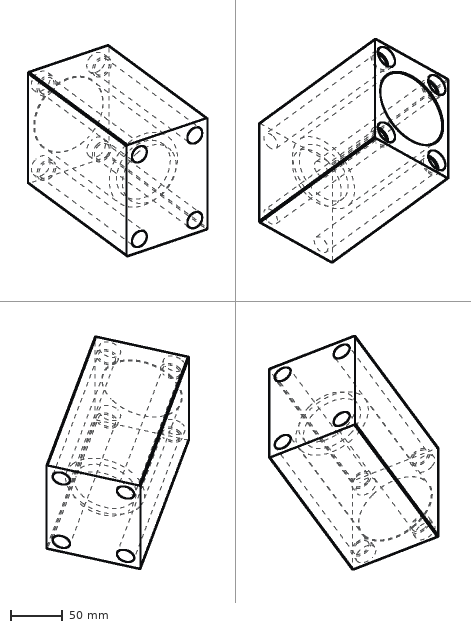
import cadquery as cq

LENGTH = 171.0
WIDTH = 95.0
HEIGHT = 125.0
EDGE_CHAMFER = 1.0

BORE_DIAMETER = 80.0
BORE_DEPTH = 130.0
BORE_CHAMFER = 0.7
RECESS_DIAMETER = 63.0
RECESS_DEPTH = 10.0

HOLE_SPACING_Y = 65.0
HOLE_SPACING_Z = 95.0
HOLE_DIAMETER = 17.5
COUNTERBORE_DIAMETER = 22.0
COUNTERBORE_DEPTH = 10.0


def make_block():
    """Block centred on the X axis, starting at X = 0, long edges chamfered."""
    block = cq.Workplane("XY").box(LENGTH, WIDTH, HEIGHT, centered=(False, True, True))
    return block.edges("|X").chamfer(EDGE_CHAMFER)


def cylinder_along_x(diameter, start, length):
    """Cylinder on the X axis from X = start, running toward +X."""
    return cq.Workplane("YZ", origin=(start, 0, 0)).circle(diameter / 2).extrude(length)


def make_bore():
    """Stepped blind bore as a solid to be removed."""
    bore = cylinder_along_x(BORE_DIAMETER, 0, BORE_DEPTH)
    recess = cylinder_along_x(RECESS_DIAMETER, BORE_DEPTH, RECESS_DEPTH)
    mouth_radius = BORE_DIAMETER / 2 + BORE_CHAMFER
    lead_in = cq.Workplane("YZ").circle(mouth_radius).workplane(offset=BORE_CHAMFER)
    lead_in = lead_in.circle(BORE_DIAMETER / 2).loft(ruled=True)
    return bore.union(recess).union(lead_in)


def make_mounting_holes():
    """Four through holes with counterbores at the -X end, to be removed."""
    through = cylinder_along_x(HOLE_DIAMETER, 0, LENGTH)
    counterbore = cylinder_along_x(COUNTERBORE_DIAMETER, 0, COUNTERBORE_DEPTH)
    hole = through.union(counterbore)
    holes = cq.Workplane("XY")
    for side_y in (-1, 1):
        for side_z in (-1, 1):
            offset = (0, side_y * HOLE_SPACING_Y / 2, side_z * HOLE_SPACING_Z / 2)
            holes = holes.add(hole.translate(offset))
    return holes.combine()


result = make_block().cut(make_bore()).cut(make_mounting_holes())